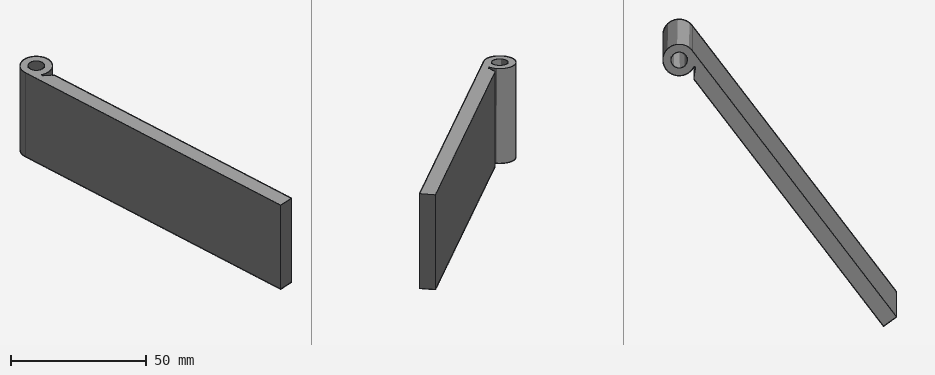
import cadquery as cq

length = 132.0
height = 38.0
knuckle_diameter = 12.0

knuckle_radius = knuckle_diameter / 2
bore_diameter = knuckle_diameter / 2
leaf_thickness = knuckle_radius

notch_depth = leaf_thickness / 2
notch_floor_y = -knuckle_radius + leaf_thickness - notch_depth
notch_floor_end_x = knuckle_radius
bevel_end_x = notch_floor_end_x + notch_depth

leaf_end_x = length - knuckle_radius
leaf_back_y = -knuckle_radius
leaf_top_y = leaf_back_y + leaf_thickness


def make_knuckle():
    return cq.Workplane("XY").circle(knuckle_radius).extrude(height)


def make_leaf():
    """Flat leaf tangent to the knuckle, with its bevelled end and notch floor."""
    return (
        cq.Workplane("XY")
        .moveTo(0, leaf_back_y)
        .lineTo(leaf_end_x, leaf_back_y)
        .lineTo(leaf_end_x, leaf_top_y)
        .lineTo(bevel_end_x, leaf_top_y)
        .lineTo(notch_floor_end_x, notch_floor_y)
        .lineTo(0, notch_floor_y)
        .close()
        .extrude(height)
    )


def make_bore():
    return cq.Workplane("XY").circle(bore_diameter / 2).extrude(height)


result = make_knuckle().union(make_leaf()).cut(make_bore())